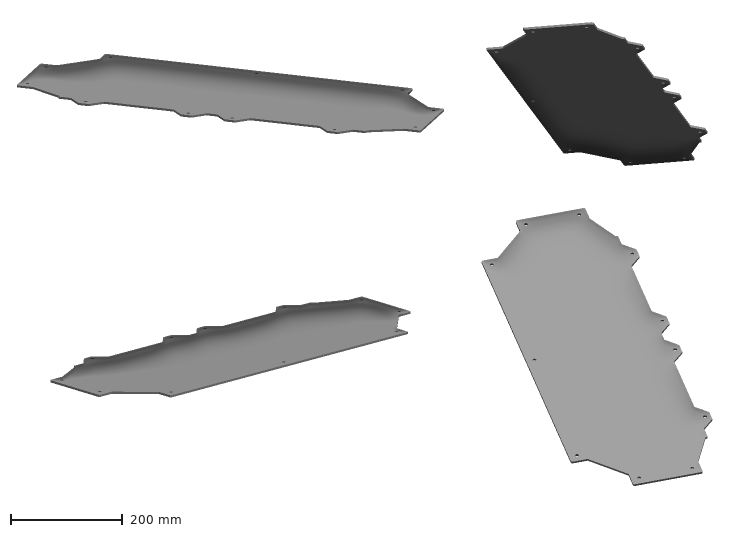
import cadquery as cq

length = 765.0
width = 275.5
thickness = 4.0

body_half = 291.5
back_side = 30.5
ear_back_y = 186.0
ear_front_y = 56.5
ear_back_inner_x = 352.0
ear_front_inner_x = 351.0
body_front_y = 21.5
front_side = 4.5
corner_radius = 3.0

tab_positions = (41.0, 236.0)
tab_tip_half = 10.0
tab_root_half = tab_tip_half + body_front_y

hole_diameter = 6.6
edge_inset = 15.0
tab_hole_y = 11.0

half_length = length / 2


def extrude_outline(points):
    return cq.Workplane("XY").polyline(points).close().extrude(thickness)


def make_body():
    right_side = [
        (body_half, width),
        (body_half, width - back_side),
        (ear_back_inner_x, ear_back_y),
        (half_length, ear_back_y),
        (half_length, ear_front_y),
        (ear_front_inner_x, ear_front_y),
        (body_half, body_front_y + front_side),
        (body_half, body_front_y),
    ]
    left_side = [(-x, y) for x, y in reversed(right_side)]
    body = extrude_outline(right_side + left_side)
    return body.edges("|Z and (<X or >X or <Y or >Y)").fillet(corner_radius)


def make_tab(center_x):
    return extrude_outline([
        (center_x - tab_root_half, body_front_y),
        (center_x - tab_tip_half, 0),
        (center_x + tab_tip_half, 0),
        (center_x + tab_root_half, body_front_y),
    ])


def hole_centers():
    back_y = width - edge_inset
    centers = [(0, back_y)]
    for side in (-1, 1):
        ear_x = side * (half_length - edge_inset)
        centers.append((side * (body_half - edge_inset), back_y))
        centers.append((ear_x, ear_back_y - edge_inset))
        centers.append((ear_x, ear_front_y + edge_inset))
        for tab_x in tab_positions:
            centers.append((side * tab_x, tab_hole_y))
    return centers


plate = make_body()
for tab_x in tab_positions:
    plate = plate.union(make_tab(tab_x)).union(make_tab(-tab_x))

holes = cq.Workplane("XY").pushPoints(hole_centers()).circle(hole_diameter / 2).extrude(thickness)
result = plate.cut(holes)